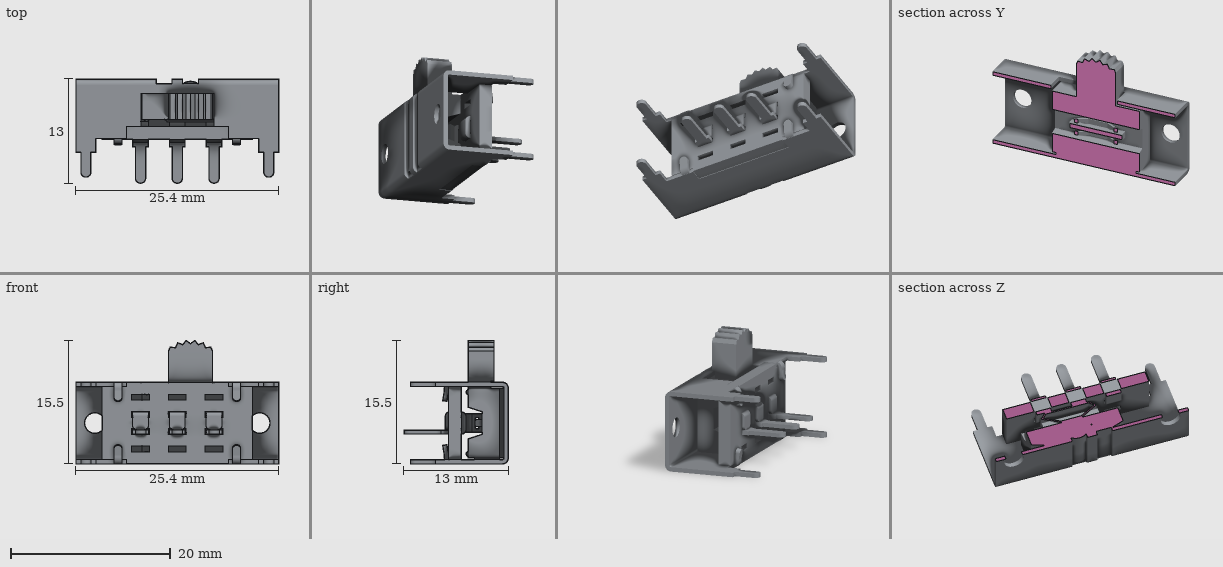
import cadquery as cq
import math


frame_length = 25.4
frame_height = 10.25
sheet = 0.55
bend_radius = 0.8
flange_depth = 7.45
mount_hole_diameter = 2.55
mount_hole_x = 10.3
lug_width = 2.51
lug_depth = 9.15
leg_width = 1.27
leg_depth = 12.27
detent_x = 1.65
detent_slot_width = 1.95
knob_window_length = 9.15
knob_window_back = 1.8

tab_x = 7.42
tab_width = 1.05
tab_drop = 2.35
tab_front = 8.03
tab_straight = 0.28
tab_tilt = 9.0
tab_corner = 0.5

board_length = 18.8
board_back = 5.9
board_front = 7.52
tongue_length = 12.75
tongue_recess = 0.08
board_slot_width = 2.24
board_slot_height = 0.74
board_slot_rows = (-3.23, -1.07, 1.07, 3.23)

terminal_pitch = 4.6
terminal_width = 1.98
terminal_sheet = 0.5
terminal_height = 2.8
terminal_back = 5.3
terminal_bend_radius = 0.55
clinch_front = 7.9
clinch_bend_radius = 0.55
clinch_corner = 0.5
clinch_gap = 0.05
shoulder_depth = 8.45
pin_width = 1.32
pin_depth = 13.03

slider_x = detent_x
slider_length = 12.15
slider_height = 8.75
slider_front = 5.03
slider_back = 1.1
ramp_length = 1.52
bump_width = 1.88
bump_height = 0.3
channel_floor = 3.28
channel_mouth = 3.94
channel_bottom = 2.8
foot_front = 4.25
foot_inset = 0.5
dot_radius = 0.33
dot_height = 0.25
dot_inset = 0.58
dot_z = 3.85

knob_width = 5.54
knob_back = 1.78
neck_back = 2.18
knob_clearance = 0.1
knob_rise = 5.2
knob_side_rise = 3.85
crest_radius = 4.2
valley_radius = 3.75
tooth_pitch = 15.0
tooth_count = 6

contact_height = 2.34
contact_sheet = 0.25
contact_front = 5.33
contact_flat = 5.85
contact_length = 7.37
contact_elbow = 4.52
contact_hook = 2.29
peg_front = 4.17
peg_height = 0.91
peg_corner = 0.2
contact_hole_height = 1.37
contact_hole_back = 3.73

half_length = frame_length / 2
half_height = frame_height / 2
inner_half_height = half_height - sheet


def block(x0, x1, depth0, depth1, z0, z1):
    """Box between two X, two depths behind-to-front (depth = -Y) and two Z."""
    box = cq.Workplane("XY").box(x1 - x0, depth1 - depth0, z1 - z0, centered=False)
    return box.translate((x0, -depth1, z0))


def centred_block(x, width, depth0, depth1, z, height):
    return block(x - width / 2, x + width / 2, depth0, depth1, z - height / 2, z + height / 2)


def round_ended_pin(x, width, depth0, depth1, z, height):
    """Flat pin pointing to -Y with a half-round tip."""
    radius = width / 2
    return (
        cq.Workplane("XY")
        .moveTo(x - radius, -depth0)
        .lineTo(x - radius, radius - depth1)
        .threePointArc((x, -depth1), (x + radius, radius - depth1))
        .lineTo(x + radius, -depth0)
        .close()
        .extrude(height)
        .translate((0, 0, z - height / 2))
    )


def make_frame():
    outer = centred_block(0, frame_length, 0, flange_depth, 0, frame_height)
    outer = outer.edges("|X and >Y").fillet(bend_radius)
    inner = centred_block(0, frame_length, sheet, flange_depth, 0, 2 * inner_half_height)
    inner = inner.edges("|X and >Y").fillet(bend_radius - sheet)
    frame = outer.cut(inner)

    flange_z = half_height - sheet / 2
    lug_x = half_length - lug_width / 2
    for side in (-1, 1):
        for level in (-flange_z, flange_z):
            lug = centred_block(side * lug_x, lug_width, flange_depth, lug_depth, level, sheet)
            leg = round_ended_pin(side * lug_x, leg_width, lug_depth, leg_depth, level, sheet)
            frame = frame.union(lug).union(leg)
        hole = cq.Workplane("XZ").circle(mount_hole_diameter / 2).extrude(sheet)
        hole = hole.translate((side * mount_hole_x, 0, 0))
        slot = centred_block(side * detent_x, detent_slot_width, 0, sheet, 0, frame_height)
        frame = frame.cut(hole).cut(slot)

    tongue_notch = centred_block(0, tongue_length, board_back, flange_depth, 0, frame_height)
    knob_window = centred_block(0, knob_window_length, knob_window_back, board_back, flange_z, sheet)
    return frame.cut(tongue_notch).cut(knob_window)


def make_retaining_tab(x):
    """Tab bent down from the upper flange over the face of the board."""
    left = x - tab_width / 2
    right = x + tab_width / 2
    hinge_z = half_height - bend_radius - tab_straight
    bend = block(left, right, flange_depth - sheet, tab_front, hinge_z, half_height)
    bend = bend.edges("|X and >Z and <Y").fillet(bend_radius)
    tongue = block(left, right, tab_front - sheet, tab_front, half_height - tab_drop, hinge_z + tab_straight)
    tongue = tongue.edges("|Y and <Z").fillet(tab_corner)
    tongue = tongue.rotate((0, -tab_front, hinge_z), (1, -tab_front, hinge_z), -tab_tilt)
    return bend.union(tongue)


def make_board():
    board = centred_block(0, board_length, board_back, board_front, 0, 2 * inner_half_height)
    tongue_height = frame_height - 2 * tongue_recess
    board = board.union(centred_block(0, tongue_length, board_back, board_front, 0, tongue_height))
    for column in (-1, 0, 1):
        for row in board_slot_rows:
            x = column * terminal_pitch
            board = board.cut(
                centred_block(x, board_slot_width, board_back, board_front, row, board_slot_height)
            )
    return board


def make_terminal(x):
    """Staple through the board: upper leg clinched over the front, lower leg drawn out into a pin."""
    left = x - terminal_width / 2
    right = x + terminal_width / 2
    leg_z = (terminal_height - terminal_sheet) / 2
    leg_underside = leg_z - terminal_sheet / 2
    pin_top = terminal_sheet / 2 - leg_z
    head = centred_block(x, terminal_width, terminal_back, board_back, 0, terminal_height)
    head = head.edges("|X and >Y").fillet(terminal_bend_radius)

    clinch_bottom = pin_top + clinch_gap
    clinch = block(left, right, board_back, clinch_front, clinch_bottom, terminal_height / 2)
    clinch = clinch.edges("|X and >Z and <Y").fillet(clinch_bend_radius)
    clinch = clinch.edges("|Y and <Z").fillet(clinch_corner)
    clinch = clinch.cut(block(left, right, board_back, board_front, clinch_bottom, leg_underside))

    shoulder = centred_block(x, terminal_width, board_back, shoulder_depth, -leg_z, terminal_sheet)
    pin = round_ended_pin(x, pin_width, shoulder_depth, pin_depth, -leg_z, terminal_sheet)
    return head.union(clinch).union(shoulder).union(pin)


def make_slider():
    half = slider_length / 2
    bump_half = bump_width / 2
    body = (
        cq.Workplane("XY")
        .moveTo(-half, -slider_front)
        .lineTo(-half, -slider_back)
        .lineTo(ramp_length - half, -sheet)
        .lineTo(-bump_half, -sheet)
        .threePointArc((0, bump_height - sheet), (bump_half, -sheet))
        .lineTo(half - ramp_length, -sheet)
        .lineTo(half, -slider_back)
        .lineTo(half, -slider_front)
        .close()
        .extrude(slider_height)
        .translate((slider_x, 0, -slider_height / 2))
    )
    channel = (
        cq.Workplane("YZ")
        .polyline([
            (-slider_front, channel_mouth / 2),
            (-channel_floor, channel_bottom / 2),
            (-channel_floor, -channel_bottom / 2),
            (-slider_front, -channel_mouth / 2),
        ])
        .close()
        .extrude(slider_length)
        .translate((slider_x - half, 0, 0))
    )
    foot = block(
        slider_x - half + foot_inset, slider_x + half - foot_inset,
        slider_back, foot_front, -inner_half_height, -slider_height / 2,
    )
    slider = body.cut(channel).union(foot)

    dome_radius = (dot_radius**2 + dot_height**2) / (2 * dot_height)
    dome_depth = slider_front + dot_height - dome_radius
    for side in (-1, 1):
        for z in (-dot_z, dot_z):
            dome_x = slider_x + side * (half - dot_inset)
            slider = slider.union(cq.Workplane("XY").sphere(dome_radius).translate((dome_x, -dome_depth, z)))
    return slider


def make_knob():
    """Handle with a toothed top whose crests and valleys lie on two concentric arcs."""
    centre_z = knob_rise - crest_radius * math.cos(math.radians(tooth_pitch / 2))
    teeth = []
    for step in range(2 * tooth_count - 1):
        angle = math.radians((step - tooth_count + 1) * tooth_pitch / 2)
        radius = crest_radius if step % 2 == 0 else valley_radius
        teeth.append((radius * math.sin(angle), centre_z + radius * math.cos(angle)))
    half = knob_width / 2
    outline = [(-half, knob_clearance), (-half, knob_side_rise), *teeth,
               (half, knob_side_rise), (half, knob_clearance)]
    handle = cq.Workplane("XZ").polyline(outline).close().extrude(slider_front - knob_back)
    handle = handle.translate((slider_x, -knob_back, half_height))
    neck = block(
        slider_x - half, slider_x + half, neck_back, slider_front,
        slider_height / 2, half_height + knob_clearance,
    )
    return handle.union(neck)


def make_moving_contact():
    """Closed spring loop bridging two terminals, hooked back at both ends and held by a slider bar."""
    half = contact_length / 2
    outline = [
        (contact_hook - half, -channel_floor),
        (-half, -contact_elbow),
        (-contact_flat / 2, -contact_front),
        (contact_flat / 2, -contact_front),
        (half, -contact_elbow),
        (half - contact_hook, -channel_floor),
    ]
    strip = cq.Workplane("XY").polyline(outline).close().extrude(contact_height)
    hollow = cq.Workplane("XY").polyline(outline).close().offset2D(-contact_sheet).extrude(contact_height)
    strip = strip.cut(hollow).translate((slider_x, 0, -contact_height / 2))
    hole = centred_block(
        slider_x, contact_length, contact_hole_back, peg_front, 0, contact_hole_height
    ).edges("|X and <Y").fillet(peg_corner)
    peg = centred_block(slider_x, contact_length, channel_floor, peg_front, 0, peg_height)
    peg = peg.edges("|X and <Y").fillet(peg_corner)
    return strip.cut(hole).union(peg)


result = make_frame().union(make_board())
for side in (-1, 1):
    tab = make_retaining_tab(side * tab_x)
    result = result.union(tab).union(tab.mirror("XY"))
for column in (-1, 0, 1):
    result = result.union(make_terminal(column * terminal_pitch))
result = result.union(make_slider()).union(make_knob()).union(make_moving_contact())